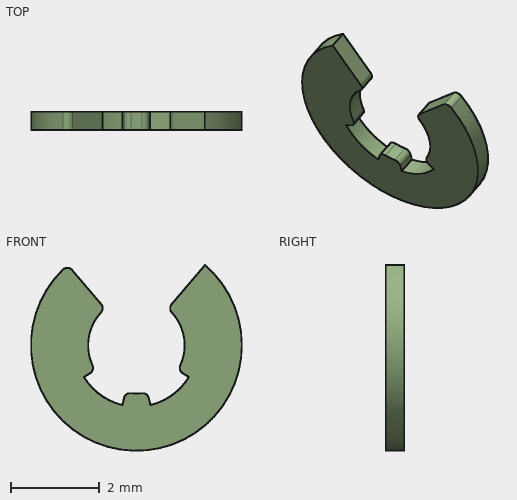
import cadquery as cq
import math

outer_radius = 2.375
shaft_radius = 1.085
relief_radius = 1.378
thickness = 0.42

mouth_half_angle = 40.5
side_lobe_end = 121.2
bottom_lobe_half_angle = 13.3

lobe_fillet = 0.142
tip_fillet = 0.142

pick_reach = 0.025


def polar(radius, angle):
    """Point in the XZ plane, with the angle measured from +Z towards +X."""
    a = math.radians(angle)
    return (radius * math.sin(a), radius * math.cos(a))


def arc_to(sketch, radius, start, end):
    """Continue the outline along an arc about the ring centre."""
    return sketch.threePointArc(polar(radius, (start + end) / 2), polar(radius, end))


def ring_outline():
    """Open ring with radial mouth faces and three inner lobes."""
    mouth_end = 360 - mouth_half_angle
    bottom_start = 180 - bottom_lobe_half_angle
    bottom_end = 180 + bottom_lobe_half_angle
    left_lobe_start = 360 - side_lobe_end

    outline = cq.Workplane("XZ").moveTo(*polar(outer_radius, mouth_half_angle))
    outline = arc_to(outline, outer_radius, mouth_half_angle, mouth_end)
    outline = outline.lineTo(*polar(shaft_radius, mouth_end))
    outline = arc_to(outline, shaft_radius, mouth_end, left_lobe_start)
    outline = outline.lineTo(*polar(relief_radius, left_lobe_start))
    outline = arc_to(outline, relief_radius, left_lobe_start, bottom_end)
    outline = outline.lineTo(*polar(shaft_radius, bottom_end))
    outline = arc_to(outline, shaft_radius, bottom_end, bottom_start)
    outline = outline.lineTo(*polar(relief_radius, bottom_start))
    outline = arc_to(outline, relief_radius, bottom_start, side_lobe_end)
    outline = outline.lineTo(*polar(shaft_radius, side_lobe_end))
    outline = arc_to(outline, shaft_radius, side_lobe_end, mouth_half_angle)
    return outline.close()


def edges_at(radius, angles):
    """Selector for the through-thickness corner edges at the given polar places."""
    selector = None
    for angle in angles:
        x, z = polar(radius, angle)
        low_corner = (x - pick_reach, -thickness, z - pick_reach)
        high_corner = (x + pick_reach, thickness, z + pick_reach)
        box = cq.selectors.BoxSelector(low_corner, high_corner)
        selector = box if selector is None else selector + box
    return selector


lobe_corners = []
for corner in (mouth_half_angle, side_lobe_end, 180 - bottom_lobe_half_angle):
    lobe_corners += [corner, -corner]

ring = ring_outline().extrude(thickness / 2, both=True)
ring = ring.edges("|Y").edges(edges_at(shaft_radius, lobe_corners)).fillet(lobe_fillet)

result = ring.edges("|Y").edges(edges_at(outer_radius, [-mouth_half_angle])).fillet(tip_fillet)